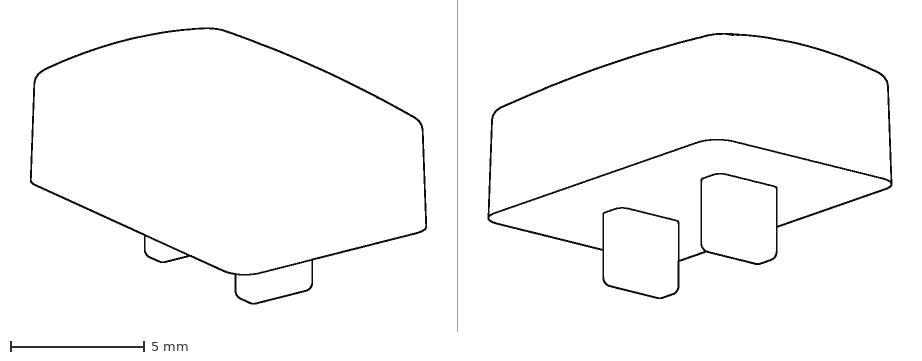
import cadquery as cq

length = 13.73
width = 9.23
crown_height = 4.93
corner_radius = 0.96
draft_angle = 2.0
top_edge_radius = 0.5

crown_radius_x = 82.38
crown_radius_y = 20.6

pin_thickness = 1.26
pin_width = 3.01
pin_length = 2.83
pin_spacing = 5.7
pin_edge_radius = 0.35


def drafted_block():
    """Rounded block with leaning walls, as tall as the top of the crown."""
    return (
        cq.Workplane("XY")
        .sketch()
        .rect(length, width)
        .vertices()
        .fillet(corner_radius)
        .finalize()
        .extrude(crown_height, taper=draft_angle)
    )


def crown_barrel():
    """Barrel whose upper side is the crown: an arc across Y revolved about an axis along Y."""
    half_width = width / 2
    axis_z = crown_height - crown_radius_x
    edge_drop = crown_radius_y - (crown_radius_y**2 - half_width**2) ** 0.5
    edge_z = crown_height - edge_drop
    return (
        cq.Workplane("YZ")
        .moveTo(-half_width, axis_z)
        .lineTo(-half_width, edge_z)
        .threePointArc((0, crown_height), (half_width, edge_z))
        .lineTo(half_width, axis_z)
        .close()
        .revolve(360, (0, axis_z), (1, axis_z))
    )


def cap():
    """Drafted block trimmed to the crown, with the top edge rounded all round."""
    crowned = drafted_block().intersect(crown_barrel())
    return crowned.faces(">Z").edges().fillet(top_edge_radius)


def pin(center_x):
    """Flat pin hanging from the base, rounded on its upright edges and its tip."""
    return (
        cq.Workplane("XY")
        .center(center_x, 0)
        .rect(pin_thickness, pin_width)
        .extrude(-pin_length)
        .edges("|Z")
        .fillet(pin_edge_radius)
        .faces("<Z")
        .edges()
        .fillet(pin_edge_radius)
    )


result = cap()
for side in (-1, 1):
    result = result.union(pin(side * pin_spacing / 2))